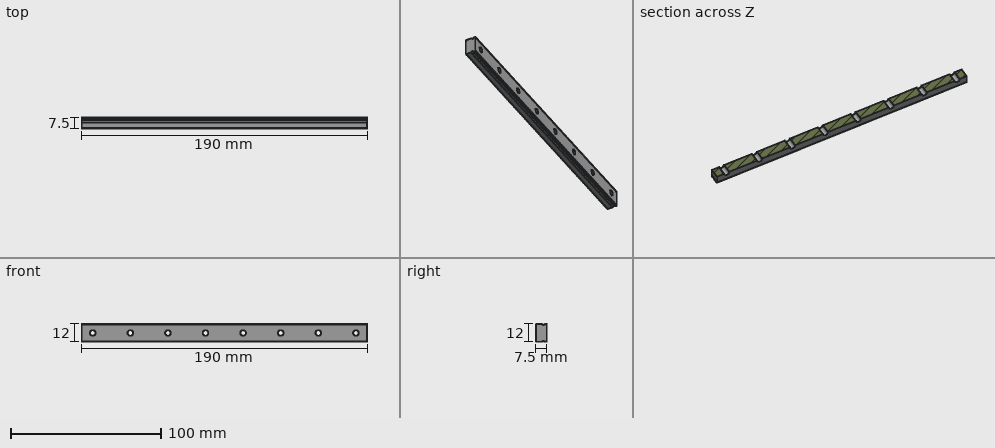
import cadquery as cq

length = 190.0
depth = 7.5
height = 12.0

lip_width = 1.1
groove_bottom = 2.3
groove_end = 3.5
groove_depth = 0.8

front_bevel = 0.4
back_bevel = 0.2

hole_count = 8
hole_diameter = 3.6
end_margin = 7.5
hole_pitch = (length - 2 * end_margin) / (hole_count - 1)


def rail_body():
    """Extrude the grooved cross-section along X, centred on the origin."""
    back = depth / 2
    front = -depth / 2
    top = height / 2
    floor = top - groove_depth
    upper_half = [
        (back, top - back_bevel),
        (back - back_bevel, top),
        (back - lip_width, top),
        (back - groove_bottom, floor),
        (back - groove_end, top),
        (front + front_bevel, top),
        (front, top - front_bevel),
    ]
    lower_half = [(y, -z) for y, z in reversed(upper_half)]
    profile = cq.Workplane("YZ").polyline(upper_half + lower_half).close()
    return profile.extrude(length / 2, both=True)


def mounting_holes():
    """Cylinders through the full depth, evenly spaced along the centreline."""
    return (
        cq.Workplane("XZ")
        .rarray(hole_pitch, 1.9, hole_count, 1)
        .circle(hole_diameter / 2)
        .extrude(depth, both=True)
    )


result = rail_body().cut(mounting_holes())